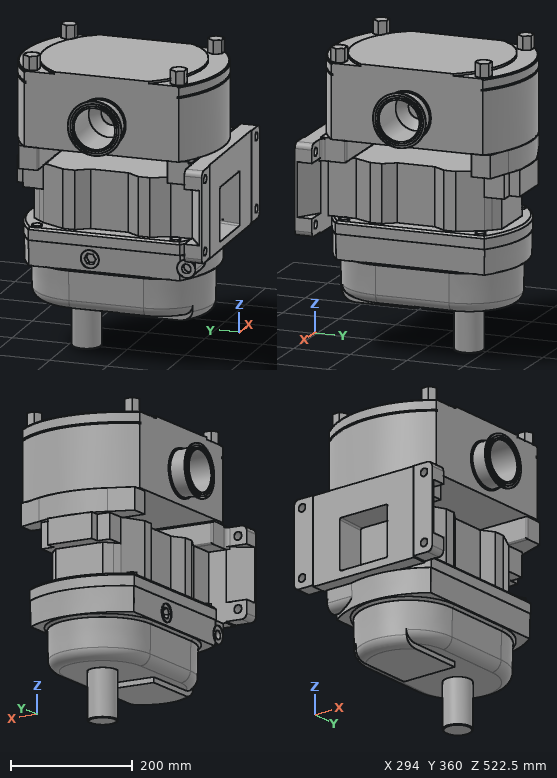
import cadquery as cq
import math

SHAFT_TIP_Z = 0
PAD_BOTTOM_Z = 75.0
HOUSING_BOTTOM_Z = 84.5
FLANGE_BOTTOM_Z = 158.0
LIP_BOTTOM_Z = 201.5
FLANGE_TOP_Z = 223.5
BODY_TOP_Z = 325.5
PLATE_TOP_Z = 362.5
HEAD_BOTTOM_Z = 365.0
COVER_GROOVE_Z = 474.5
HEAD_TOP_Z = 495.0
DISC_TOP_Z = 498.5
TOP_Z = 522.5

HEAD_RADIUS = 174.5
HEAD_HALF_WIDTH = 112.0
DISC_RADIUS = 138.5
GROOVE_SIZE = 2.0
HEAD_EDGE = 2.0

NUT_X, NUT_Y = 93.0, 127.5
NUT_CORNER_DIAMETER = 28.0
NUT_CROWN = 4.0

PORT_Z = 419.0
PORT_SPAN = 294.0
PORT_TIP_X = PORT_SPAN / 2
PORT_TUBE_RADIUS = 40.0
PORT_COLLAR_RADIUS = 42.5
PORT_COLLAR_LENGTH = 2.5
PORT_ROOT_DEPTH = 5
PORT_RIM_RADIUS = 46.5
PORT_RIM_THICKNESS = 2.5
PORT_RIM_SLOPE = 2.0
PORT_GROOVE_INNER, PORT_GROOVE_OUTER = 38.5, 42.5
PORT_GROOVE_DEPTH = 1.0
PORT_BORE_RADIUS = 35.5
PORT_BORE_DEPTH = 73
PORT_FLOOR_RADIUS = 19.5

BLOCK_INNER_Y = 111.0
BLOCK_FILLET = 2.5
REAR_BLOCK_HALF_WIDTH = 108.0
REAR_BLOCK_CORNER_Y = 145.0
REAR_BLOCK_RADIUS = 173.0
REAR_BLOCK_TANGENT_X = 65.5

LUG_HALF_WIDTH = 42
LUG_ROOT_HALF_WIDTH = 65.5
LUG_ROOT_Y = 152.5
LUG_END_Y = 171.0
LUG_BOTTOM_Z = 280.5

PLATE_FRONT_Y = -185.5
PLATE_FACE_RECESS = 1.5
PLATE_BACK_Y = -155.0
PLATE_HALF_WIDTH = 105.0
EAR_HALF_WIDTH = 144.0
EAR_BOTTOM_Z = 204
EAR_CORNER = 9.5
EAR_THIN = 4.5
EAR_RELIEF_BOTTOM_Z, EAR_RELIEF_TOP_Z = 236.0, 330.0
NECK_FILLET = 7.0
EAR_HOLE_X = 127.5
EAR_HOLE_LEVELS = (222.0, 346.0)
EAR_HOLE_DIAMETER = 14.0
WINDOW_HALF_WIDTH = 49.5
WINDOW_BOTTOM_Z, WINDOW_TOP_Z = 216.0, 309.5
WINDOW_DEPTH = 49.5
WINDOW_DRAFT = 5
WINDOW_CORNER = 3.0

FLANGE_RADIUS = 163.5
FLANGE_HALF_WIDTH = 98.0
FLANGE_DRAFT = 1.5
LIP_OVERHANG = 1.5
LIP_CHAMFER = 3.5
COLLAR_SIZE = 4.5
FLANGE_BOLT_X, FLANGE_BOLT_Y = 89, 120
FLANGE_BOLT_DIAMETER = 18.0
FLANGE_BOLT_HEIGHT = 3.0
HOUSING_RADIUS = 91.0
HOUSING_DRAFT = 1
HOUSING_FILLET = 18.5
SHAFT_Y = 65.0
SHAFT_RADIUS = 25.0
SHAFT_CHAMFER = 1.5
PAD_HALF_WIDTH = 53.0
PAD_REAR_Y = -10.5

PLUG_Z = 179.0
PLUG_RADIUS = 15.5
PLUG_RING_DEPTH = 1.0
PLUG_SOCKET_DEPTH = 10.5
DRAIN_Y = -142.0
DRAIN_HOLE_RADIUS = 8.0
LEVEL_PLUG_Y = 25.0
LEVEL_PLUG_HEX = 20.0


def box(x_range, y_range, z_range):
    """Box between two limits along each axis."""
    spans = [high - low for low, high in (x_range, y_range, z_range)]
    return cq.Workplane("XY").box(*spans, centered=False).translate((x_range[0], y_range[0], z_range[0]))


def flat_disc(radius, half_width, bottom, top, taper=0):
    """Round disc cut flat at both X sides, drafted inward going up if tapered."""
    end_y = math.sqrt(radius**2 - half_width**2)
    outline = (
        cq.Workplane("XY").workplane(offset=bottom)
        .moveTo(half_width, -end_y)
        .lineTo(half_width, end_y)
        .threePointArc((0, radius), (-half_width, end_y))
        .lineTo(-half_width, -end_y)
        .threePointArc((0, -radius), (half_width, -end_y))
        .close()
    )
    return outline.extrude(top - bottom, taper=taper)


def x_cylinder(radius, y, z, x_start, x_end):
    """Cylinder along X between two positions."""
    return (
        cq.Workplane("YZ", origin=(x_start, 0, 0))
        .center(y, z).circle(radius).extrude(x_end - x_start)
    )


def pump_head():
    head = flat_disc(HEAD_RADIUS, HEAD_HALF_WIDTH, HEAD_BOTTOM_Z, HEAD_TOP_Z)
    head = head.faces(">Z").edges("%CIRCLE").chamfer(HEAD_EDGE)
    groove_top = COVER_GROOVE_Z + GROOVE_SIZE
    groove = flat_disc(HEAD_RADIUS, HEAD_HALF_WIDTH, COVER_GROOVE_Z, groove_top).cut(
        cq.Workplane("XY").workplane(offset=COVER_GROOVE_Z)
        .circle(HEAD_RADIUS - GROOVE_SIZE).extrude(GROOVE_SIZE)
    )
    disc = flat_disc(DISC_RADIUS, HEAD_HALF_WIDTH, HEAD_TOP_Z, DISC_TOP_Z)
    return head.cut(groove).union(disc)


def cover_nuts():
    height = TOP_Z - HEAD_TOP_Z
    corner = NUT_CORNER_DIAMETER / 2
    nut = cq.Workplane("XY").polygon(6, NUT_CORNER_DIAMETER).extrude(height)
    crown = (
        cq.Workplane("XZ")
        .polyline([(0, 0), (corner, 0), (corner, height - NUT_CROWN), (0, height)])
        .close().revolve(360, (0, 0, 0), (0, 1, 0))
    )
    crowned_nut = nut.intersect(crown).val()
    return (
        cq.Workplane("XY").workplane(offset=HEAD_TOP_Z)
        .rect(2 * NUT_X, 2 * NUT_Y, forConstruction=True).vertices()
        .eachpoint(lambda place: crowned_nut.moved(place), combine=True)
    )


def port_shape(profile):
    """Turn an (x, radius) profile about the port axis."""
    return (
        cq.Workplane("XY", origin=(0, 0, PORT_Z))
        .polyline(profile).close().revolve(360, (0, 0, 0), (1, 0, 0))
    )


def port_outside():
    """Tube with a collar at the head and a clamp rim with a seal groove."""
    rim_x = PORT_TIP_X - PORT_RIM_THICKNESS
    collar_x = HEAD_HALF_WIDTH + PORT_COLLAR_LENGTH
    root_x = HEAD_HALF_WIDTH - PORT_ROOT_DEPTH
    return port_shape([
        (root_x, 0),
        (root_x, PORT_COLLAR_RADIUS),
        (collar_x, PORT_COLLAR_RADIUS),
        (collar_x, PORT_TUBE_RADIUS),
        (rim_x - PORT_RIM_SLOPE, PORT_TUBE_RADIUS),
        (rim_x, PORT_RIM_RADIUS),
        (PORT_TIP_X, PORT_RIM_RADIUS),
        (PORT_TIP_X, PORT_GROOVE_OUTER),
        (PORT_TIP_X - PORT_GROOVE_DEPTH, PORT_GROOVE_OUTER),
        (PORT_TIP_X - PORT_GROOVE_DEPTH, PORT_GROOVE_INNER),
        (PORT_TIP_X, PORT_GROOVE_INNER),
        (PORT_TIP_X, 0),
    ])


def port_bore():
    """Blind bore that narrows at 45 degrees to a small flat floor."""
    cone_x = PORT_TIP_X - PORT_BORE_DEPTH
    floor_x = cone_x - (PORT_BORE_RADIUS - PORT_FLOOR_RADIUS)
    return port_shape([
        (floor_x, 0),
        (floor_x, PORT_FLOOR_RADIUS),
        (cone_x, PORT_BORE_RADIUS),
        (PORT_TIP_X, PORT_BORE_RADIUS),
        (PORT_TIP_X, 0),
    ])


def rear_block():
    tangent_y = math.sqrt(REAR_BLOCK_RADIUS**2 - REAR_BLOCK_TANGENT_X**2)
    block = (
        cq.Workplane("XY").workplane(offset=BODY_TOP_Z)
        .moveTo(-REAR_BLOCK_HALF_WIDTH, BLOCK_INNER_Y)
        .lineTo(REAR_BLOCK_HALF_WIDTH, BLOCK_INNER_Y)
        .lineTo(REAR_BLOCK_HALF_WIDTH, REAR_BLOCK_CORNER_Y)
        .lineTo(REAR_BLOCK_TANGENT_X, tangent_y)
        .threePointArc((0, REAR_BLOCK_RADIUS), (-REAR_BLOCK_TANGENT_X, tangent_y))
        .lineTo(-REAR_BLOCK_HALF_WIDTH, REAR_BLOCK_CORNER_Y)
        .close().extrude(HEAD_BOTTOM_Z - BODY_TOP_Z)
    )
    return block.faces("<Y").edges("not >Z").fillet(BLOCK_FILLET)


def body():
    """Waisted body with two ridges per side and a stepped rear lug."""
    side = [
        (72.0, PLATE_BACK_Y),
        (72.0, -106.0),
        (86.5, -75.0),
        (86.5, -55.0),
        (72.0, -33.0),
        (72.0, 33.0),
        (86.5, 55.0),
        (86.5, 76.0),
        (LUG_ROOT_HALF_WIDTH, 117.5),
        (57.0, 127.5),
        (44.5, 140.5),
    ]
    other_side = [(-x, y) for x, y in reversed(side)]
    core = (
        cq.Workplane("XY").workplane(offset=FLANGE_TOP_Z)
        .polyline(side + other_side).close().extrude(BODY_TOP_Z - FLANGE_TOP_Z)
    )
    lug_root = box(
        (-LUG_ROOT_HALF_WIDTH, LUG_ROOT_HALF_WIDTH), (0, LUG_ROOT_Y), (LUG_BOTTOM_Z, BODY_TOP_Z)
    )
    lug = box((-LUG_HALF_WIDTH, LUG_HALF_WIDTH), (0, LUG_END_Y), (LUG_BOTTOM_Z, BODY_TOP_Z))
    return core.union(lug_root).union(lug)


def mounting_plate():
    centre_x = (-PLATE_HALF_WIDTH, PLATE_HALF_WIDTH)
    face_y = PLATE_FRONT_Y + PLATE_FACE_RECESS
    centre = box(centre_x, (face_y, PLATE_BACK_Y), (LIP_BOTTOM_Z, PLATE_TOP_Z))
    bridge = box(centre_x, (PLATE_BACK_Y, -BLOCK_INNER_Y), (BODY_TOP_Z, PLATE_TOP_Z))
    bridge = bridge.faces(">Y").edges("not >Z").fillet(BLOCK_FILLET)

    ear_x = (-EAR_HALF_WIDTH, EAR_HALF_WIDTH)
    ears = box(ear_x, (PLATE_FRONT_Y, PLATE_BACK_Y), (EAR_BOTTOM_Z, PLATE_TOP_Z))
    ears = ears.edges("|Y").fillet(EAR_CORNER)
    ears = ears.cut(box(centre_x, (PLATE_FRONT_Y, face_y), (EAR_BOTTOM_Z, PLATE_TOP_Z)))
    plate = centre.union(ears).union(bridge)
    neck_corners = cq.selectors.BoxSelector(
        (-PLATE_HALF_WIDTH - NECK_FILLET, PLATE_BACK_Y - NECK_FILLET, BODY_TOP_Z),
        (PLATE_HALF_WIDTH + NECK_FILLET, PLATE_BACK_Y + NECK_FILLET, PLATE_TOP_Z),
    )
    plate = plate.edges(neck_corners).edges("|Z").fillet(NECK_FILLET)

    seat_y = (PLATE_BACK_Y, -BLOCK_INNER_Y - BLOCK_FILLET)
    plate = plate.union(box(centre_x, seat_y, (PLATE_TOP_Z, HEAD_BOTTOM_Z)))

    for side in (-1, 1):
        relief = (
            cq.Workplane("XY").workplane(offset=EAR_RELIEF_BOTTOM_Z)
            .polyline([
                (side * PLATE_HALF_WIDTH, PLATE_BACK_Y),
                (side * EAR_HALF_WIDTH, PLATE_FRONT_Y + EAR_THIN),
                (side * EAR_HALF_WIDTH, PLATE_BACK_Y),
            ])
            .close().extrude(EAR_RELIEF_TOP_Z - EAR_RELIEF_BOTTOM_Z)
        )
        plate = plate.cut(relief)

    holes = (
        cq.Workplane("XZ", origin=(0, PLATE_BACK_Y, 0))
        .pushPoints([(x, z) for x in (-EAR_HOLE_X, EAR_HOLE_X) for z in EAR_HOLE_LEVELS])
        .circle(EAR_HOLE_DIAMETER / 2).extrude(PLATE_BACK_Y - PLATE_FRONT_Y)
    )
    return plate.cut(holes)


def plate_window():
    """Blind pocket whose walls slope in toward the floor."""
    face_y = PLATE_FRONT_Y + PLATE_FACE_RECESS
    middle_z = (WINDOW_BOTTOM_Z + WINDOW_TOP_Z) / 2
    pocket = (
        cq.Workplane("XZ", origin=(0, face_y, middle_z))
        .rect(2 * WINDOW_HALF_WIDTH, WINDOW_TOP_Z - WINDOW_BOTTOM_Z)
        .extrude(-WINDOW_DEPTH, taper=WINDOW_DRAFT)
    )
    return pocket.edges("not |X").edges("not |Z").fillet(WINDOW_CORNER)


def gear_flange():
    lower = flat_disc(FLANGE_RADIUS, FLANGE_HALF_WIDTH, FLANGE_BOTTOM_Z, LIP_BOTTOM_Z, -FLANGE_DRAFT)
    lip = flat_disc(
        FLANGE_RADIUS + LIP_OVERHANG, FLANGE_HALF_WIDTH + LIP_OVERHANG, LIP_BOTTOM_Z, FLANGE_TOP_Z
    )
    lip = lip.faces(">Z").edges().chamfer(LIP_CHAMFER)
    bolts = (
        cq.Workplane("XY").workplane(offset=FLANGE_TOP_Z)
        .rect(2 * FLANGE_BOLT_X, 2 * FLANGE_BOLT_Y, forConstruction=True).vertices()
        .polygon(6, FLANGE_BOLT_DIAMETER).extrude(FLANGE_BOLT_HEIGHT)
    )
    collar = (
        cq.Workplane("XY", origin=(0, 0, FLANGE_BOTTOM_Z))
        .slot2D(2 * (SHAFT_Y + HOUSING_RADIUS + COLLAR_SIZE), 2 * (HOUSING_RADIUS + COLLAR_SIZE), 90)
        .extrude(-COLLAR_SIZE, taper=45)
    )
    return lower.union(lip).union(bolts).union(collar)


def housing_shell(bottom):
    """Drafted bowl with two round ends, rounded at the bottom."""
    length = 2 * (SHAFT_Y + HOUSING_RADIUS)
    shell = (
        cq.Workplane("XY", origin=(0, 0, FLANGE_BOTTOM_Z))
        .slot2D(length, 2 * HOUSING_RADIUS, 90)
        .extrude(bottom - FLANGE_BOTTOM_Z, taper=HOUSING_DRAFT)
    )
    return shell.faces("<Z").edges().fillet(HOUSING_FILLET)


def housing():
    pad_limits = box(
        (-PAD_HALF_WIDTH, PAD_HALF_WIDTH),
        (-SHAFT_Y - HOUSING_RADIUS, PAD_REAR_Y),
        (PAD_BOTTOM_Z, FLANGE_BOTTOM_Z),
    )
    pad = housing_shell(PAD_BOTTOM_Z).intersect(pad_limits)
    return housing_shell(HOUSING_BOTTOM_Z).union(pad)


def shaft():
    return (
        cq.Workplane("XY", origin=(0, SHAFT_Y, SHAFT_TIP_Z))
        .circle(SHAFT_RADIUS).extrude(FLANGE_BOTTOM_Z - SHAFT_TIP_Z)
        .faces("<Z").chamfer(SHAFT_CHAMFER)
    )


def drain_boss():
    """Boss along X at the front corner, closed up to the flange lip."""
    barrel = x_cylinder(PLUG_RADIUS, DRAIN_Y, PLUG_Z, -FLANGE_HALF_WIDTH, 0)
    web = box((-FLANGE_HALF_WIDTH, 0), (DRAIN_Y - PLUG_RADIUS, 0), (PLUG_Z, LIP_BOTTOM_Z))
    return barrel.union(web)


def plug_recesses():
    """Round spot faces, with a round drain hole and a hexagon socket."""
    outer_x = -FLANGE_HALF_WIDTH - LIP_OVERHANG
    face_x = -FLANGE_HALF_WIDTH + PLUG_RING_DEPTH
    socket_x = face_x + PLUG_SOCKET_DEPTH
    recesses = x_cylinder(DRAIN_HOLE_RADIUS, DRAIN_Y, PLUG_Z, outer_x, socket_x)
    for y in (DRAIN_Y, LEVEL_PLUG_Y):
        recesses = recesses.union(x_cylinder(PLUG_RADIUS, y, PLUG_Z, outer_x, face_x))
    hexagon = (
        cq.Workplane("YZ", origin=(outer_x, 0, 0))
        .center(LEVEL_PLUG_Y, PLUG_Z).polygon(6, LEVEL_PLUG_HEX).extrude(socket_x - outer_x)
    )
    return recesses.union(hexagon)


additions = (
    cover_nuts(),
    port_outside(),
    port_outside().mirror("YZ"),
    rear_block(),
    body(),
    mounting_plate(),
    gear_flange(),
    housing(),
    shaft(),
    drain_boss(),
)
cuts = (port_bore(), port_bore().mirror("YZ"), plate_window(), plug_recesses())

result = pump_head()
for addition in additions:
    result = result.union(addition)
for cut in cuts:
    result = result.cut(cut)